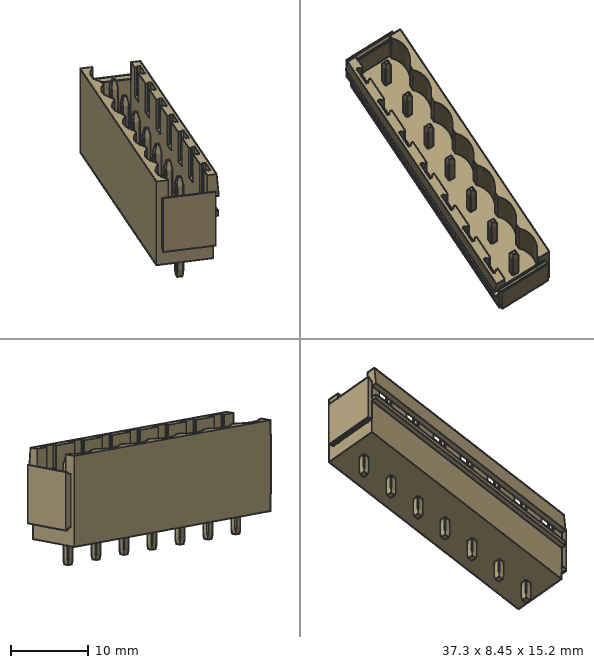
import cadquery as cq

pin_count = 7
pin_row_span = 30.5
pitch = pin_row_span / (pin_count - 1)
overall_length = 37.32
overall_depth = 8.45
overall_height = 15.2

body_length = 35.68
body_depth = 7.7
body_height = 12.0
floor_height = 2.5
front_wall = 1.6
rear_wall = 0.82
channel_rear = body_depth - rear_wall

scallop_chord = 4.33
scallop_depth = 0.85

lip_bottom = 8.85
lip_top_depth = 8.15
ridge_bottom = 6.0
ridge_height = 0.7
ridge_depth = 8.35

slot_bottom = 7.9
slot_front_width = 1.8
slot_rear_width = 2.3
slot_step = (slot_rear_width - slot_front_width) / 2
slot_rear_straight = 0.3

plate_front = 0.7
plate_rear = 7.8
plate_thickness = (overall_length - body_length) / 2
plate_neck = 0.22
plate_rim = 0.2
plate_flare = 0.35
plate_bottom = floor_height - plate_flare
plate_top = 9.9

pin_width = 1.0
pin_edge_chamfer = 0.15
pin_y = 3.8
pin_bottom = body_height - overall_height
pin_top = 11.1
top_tip_length = 1.27
top_tip_width = 0.4
bottom_tip_length = 0.95
bottom_tip_width = 0.67

pin_xs = [(i - (pin_count - 1) / 2) * pitch for i in range(pin_count)]


def block(length, y_front, y_rear, z_bottom, z_top):
    """Box centred on X = 0 between the given Y and Z limits."""
    return cq.Workplane("XY").box(
        length, y_rear - y_front, z_top - z_bottom, centered=(True, False, False)
    ).translate((0, y_front, z_bottom))


def make_trough():
    """Block with a lengthwise channel that is open at the top and at both ends."""
    channel = block(body_length, front_wall, channel_rear, floor_height, body_height)
    return block(body_length, 0, body_depth, 0, body_height).cut(channel)


def make_lip():
    """Lip along the top of the rear wall, with a sloping back."""
    return (
        cq.Workplane("YZ", origin=(-body_length / 2, 0, 0))
        .moveTo(body_depth, lip_bottom)
        .lineTo(overall_depth, lip_bottom)
        .lineTo(lip_top_depth, body_height)
        .lineTo(body_depth, body_height)
        .close()
        .extrude(body_length)
    )


def make_ridge():
    """Narrow ridge along the back of the rear wall."""
    return block(body_length, body_depth, ridge_depth, ridge_bottom, ridge_bottom + ridge_height)


def make_end_plate():
    """Plate on the +X end whose top and bottom edges flare outwards."""
    x_inner = body_length / 2
    x_neck = x_inner + plate_neck
    x_outer = x_inner + plate_thickness
    x_rim = x_outer - plate_rim
    return (
        cq.Workplane("XZ", origin=(0, plate_rear, 0))
        .moveTo(x_inner, plate_bottom + plate_flare)
        .lineTo(x_neck, plate_bottom + plate_flare)
        .lineTo(x_rim, plate_bottom)
        .lineTo(x_outer, plate_bottom)
        .lineTo(x_outer, plate_top)
        .lineTo(x_rim, plate_top)
        .lineTo(x_neck, plate_top - plate_flare)
        .lineTo(x_inner, plate_top - plate_flare)
        .close()
        .extrude(plate_rear - plate_front)
    )


def make_scallop(x):
    """Cutter for the rounded relief in the front wall facing one pin."""
    return (
        cq.Workplane("XY", origin=(x, front_wall, floor_height))
        .moveTo(-scallop_chord / 2, 0)
        .threePointArc((0, -scallop_depth), (scallop_chord / 2, 0))
        .close()
        .extrude(body_height - floor_height)
    )


def make_slot(x):
    """Cutter for a shouldered slot, wider at the back, that opens through the rear wall below the lip."""
    y_front = channel_rear
    y_wide = body_depth - slot_rear_straight
    y_narrow = y_wide - slot_step
    return (
        cq.Workplane("XY", origin=(x, 0, slot_bottom))
        .moveTo(-slot_front_width / 2, y_front)
        .lineTo(-slot_front_width / 2, y_narrow)
        .lineTo(-slot_rear_width / 2, y_wide)
        .lineTo(-slot_rear_width / 2, body_depth)
        .lineTo(slot_rear_width / 2, body_depth)
        .lineTo(slot_rear_width / 2, y_wide)
        .lineTo(slot_front_width / 2, y_narrow)
        .lineTo(slot_front_width / 2, y_front)
        .close()
        .extrude(body_height - slot_bottom)
    )


def pin_tip(z_base, z_end, end_width):
    """Square-section pyramid frustum that narrows from the pin width to end_width."""
    return (
        cq.Workplane("XY", origin=(0, 0, z_base))
        .rect(pin_width, pin_width)
        .workplane(offset=z_end - z_base)
        .rect(end_width, end_width)
        .loft(ruled=True)
    )


def make_pin(x):
    """Square pin with chamfered long edges and a tapered tip at each end."""
    shank_bottom = pin_bottom + bottom_tip_length
    shank_top = pin_top - top_tip_length
    shank = cq.Workplane("XY", origin=(0, 0, shank_bottom)).rect(pin_width, pin_width)
    shank = shank.extrude(shank_top - shank_bottom)
    square_pin = (
        shank.union(pin_tip(shank_top, pin_top, top_tip_width))
        .union(pin_tip(shank_bottom, pin_bottom, bottom_tip_width))
    )
    envelope = (
        cq.Workplane("XY", origin=(0, 0, pin_bottom))
        .rect(pin_width, pin_width)
        .extrude(pin_top - pin_bottom)
        .edges("|Z")
        .chamfer(pin_edge_chamfer)
    )
    return square_pin.intersect(envelope).translate((x, pin_y, 0))


def make_housing(pins):
    """Housing with a matching hole through its floor for each pin."""
    end_plate = make_end_plate()
    housing = make_trough().union(make_lip()).union(make_ridge())
    housing = housing.union(end_plate).union(end_plate.mirror("YZ"))
    for x in pin_xs:
        housing = housing.cut(make_scallop(x)).cut(make_slot(x))
    for pin in pins:
        housing = housing.cut(pin)
    return housing


pins = [make_pin(x) for x in pin_xs]
housing = make_housing(pins)

result = cq.Compound.makeCompound([housing.val(), *[pin.val() for pin in pins]])